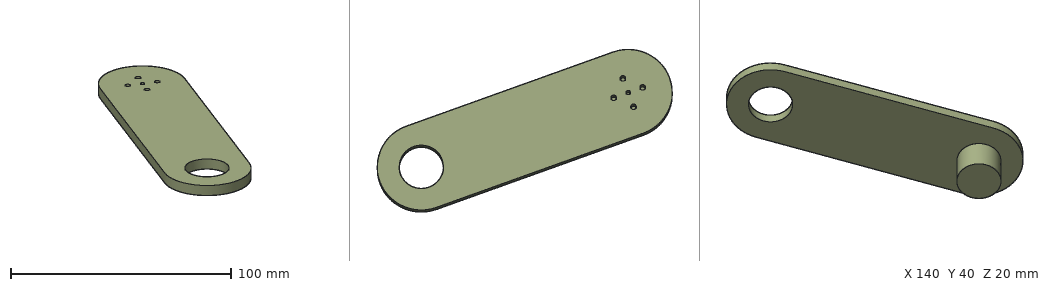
import cadquery as cq

plate_length = 140.0
plate_width = 40.0
plate_thickness = 5.0
end_offset = (plate_length - plate_width) / 2

total_height = 20.0
boss_diameter = 20.0
boss_height = total_height - plate_thickness
bore_diameter = boss_diameter

center_hole_diameter = 2.0
ring_hole_diameter = 2.5
ring_radius = 7.0
ring_hole_count = 4
small_hole_depth = plate_thickness


def make_plate():
    return cq.Workplane("XY").slot2D(plate_length, plate_width).extrude(plate_thickness)


def make_boss():
    return cq.Workplane("XY").center(-end_offset, 0).circle(boss_diameter / 2).extrude(-boss_height)


def make_bore():
    return cq.Workplane("XY").center(end_offset, 0).circle(bore_diameter / 2).extrude(plate_thickness)


def make_small_holes():
    top = cq.Workplane("XY", origin=(-end_offset, 0, plate_thickness))
    center_hole = top.circle(center_hole_diameter / 2).extrude(-small_hole_depth)
    ring_holes = (
        top.polarArray(ring_radius, 0, 360, ring_hole_count)
        .circle(ring_hole_diameter / 2)
        .extrude(-small_hole_depth)
    )
    return center_hole.union(ring_holes)


result = make_plate().union(make_boss()).cut(make_bore()).cut(make_small_holes())